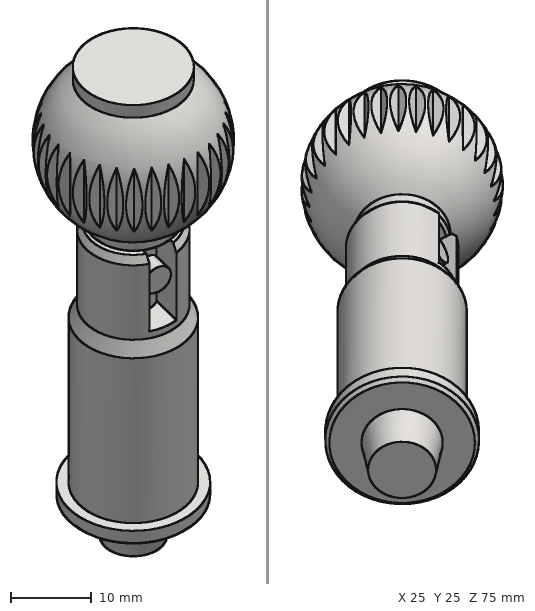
import cadquery as cq
import math

total_height = 75.0

ball_diameter = 25.0
ball_radius = ball_diameter / 2
ball_center_z = 63.0
cap_radius = 7.5
neck_radius = 6.0
neck_chamfer = 0.45
stem_radius = 3.0
tip_base_radius = 5.0
tip_end_radius = 4.2

groove_count = 33
groove_half_height = 5.0
groove_pitch = 360 / groove_count
groove_angle = 90.0

housing_bottom_z = 6.0
housing_top_z = 50.0
flange_radius = 9.5
flange_height = 2.5
flange_chamfer = 0.5
body_radius = 8.0
body_top_z = 34.9
collar_radius = 7.0
collar_bottom_z = 37.0
collar_chamfer = 1.1
collar_chamfer_width = 0.7

slot_width = 4.0
slot_floor_z = 38.1
cross_pin_radius = slot_width / 2
cross_pin_length = 10.95
cross_pin_z = 44.6


def sphere_height(radius):
    """Distance from the ball's equator plane at which the ball has this radius."""
    return math.sqrt(ball_radius**2 - radius**2)


def make_plunger_profile():
    """Ball knob, neck, stem and tapered tip, turned about Z as one piece."""
    return (
        cq.Workplane("XZ")
        .lineTo(tip_end_radius, 0)
        .lineTo(tip_base_radius, housing_bottom_z)
        .lineTo(stem_radius, housing_bottom_z)
        .lineTo(stem_radius, housing_top_z)
        .lineTo(neck_radius - neck_chamfer, housing_top_z)
        .lineTo(neck_radius, housing_top_z + neck_chamfer)
        .lineTo(neck_radius, ball_center_z - sphere_height(neck_radius))
        .threePointArc(
            (ball_radius, ball_center_z),
            (cap_radius, ball_center_z + sphere_height(cap_radius)),
        )
        .lineTo(cap_radius, total_height)
        .lineTo(0, total_height)
        .close()
        .revolve(360, (0, 0), (0, 1))
    )


def cut_grip_grooves(knob):
    """Straight V grooves around the equator that run out on the ball."""
    root_radius = sphere_height(groove_half_height)
    cutter_depth = 2 * (ball_radius - root_radius)
    cutter_half_width = cutter_depth * math.tan(math.radians(groove_angle / 2))
    cutter_half_height = 1.5 * groove_half_height
    cutter = (
        cq.Workplane("XY", origin=(0, 0, ball_center_z))
        .moveTo(root_radius, 0)
        .lineTo(root_radius + cutter_depth, cutter_half_width)
        .lineTo(root_radius + cutter_depth, -cutter_half_width)
        .close()
        .extrude(cutter_half_height, both=True)
    )
    for i in range(groove_count):
        knob = knob.cut(cutter.rotate((0, 0, 0), (0, 0, 1), i * groove_pitch))
    return knob


def make_cross_pin():
    """Round bar along X through the stem."""
    return (
        cq.Workplane("YZ", origin=(0, 0, cross_pin_z))
        .circle(cross_pin_radius)
        .extrude(cross_pin_length / 2, both=True)
    )


def make_plunger():
    """Grooved ball knob on its stem, with the cross pin fixed in it."""
    return cut_grip_grooves(make_plunger_profile()).union(make_cross_pin())


def make_housing():
    """Flanged sleeve, bored for the stem, with a slot open at the top."""
    sleeve = (
        cq.Workplane("XZ")
        .moveTo(stem_radius, housing_bottom_z)
        .lineTo(flange_radius - flange_chamfer, housing_bottom_z)
        .lineTo(flange_radius, housing_bottom_z + flange_chamfer)
        .lineTo(flange_radius, housing_bottom_z + flange_height)
        .lineTo(body_radius, housing_bottom_z + flange_height)
        .lineTo(body_radius, body_top_z)
        .lineTo(collar_radius, collar_bottom_z)
        .lineTo(collar_radius, housing_top_z - collar_chamfer)
        .lineTo(collar_radius - collar_chamfer_width, housing_top_z)
        .lineTo(stem_radius, housing_top_z)
        .close()
        .revolve(360, (0, 0), (0, 1))
    )
    slot = cq.Workplane("XY", origin=(0, 0, slot_floor_z)).box(
        2 * body_radius,
        slot_width,
        housing_top_z - slot_floor_z,
        centered=(True, True, False),
    )
    return sleeve.cut(slot)


plunger = make_plunger()
housing = make_housing()

result = cq.Compound.makeCompound([plunger.val(), housing.val()])